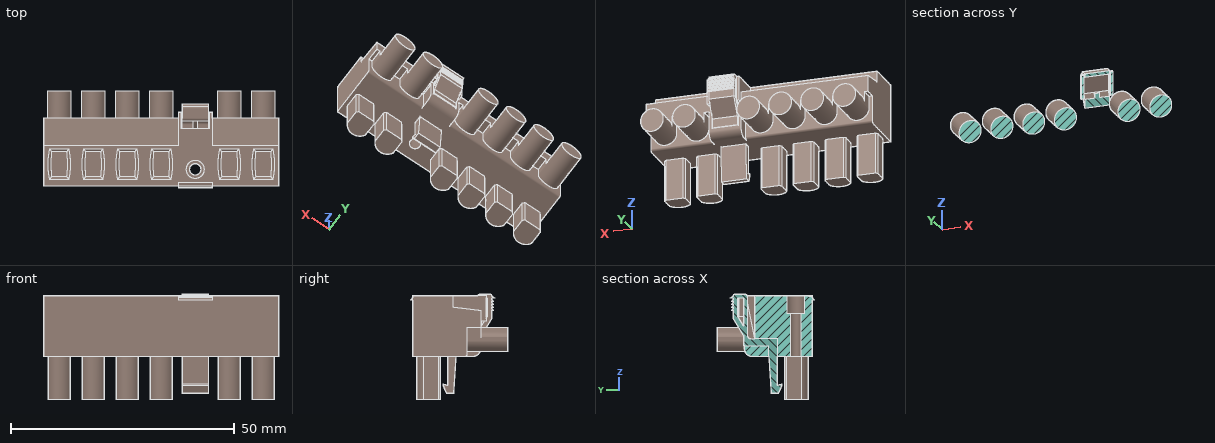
import cadquery as cq


housing_length = 52.72
pitch = 7.62
position_count = 7
latch_position = 4
first_x = (housing_length - (position_count - 1) * pitch) / 2
positions_x = [first_x + i * pitch for i in range(position_count)]
latch_x = positions_x[latch_position]
contacts_x = [x for i, x in enumerate(positions_x) if i != latch_position]

housing_height = 13.7
housing_depth = 15.3
step_y = 9.1
step_z = 11.1
shoulder_back_z = 10.35
bay_front_y = 12.26
bay_corner_radius = 0.6

sleeve_radius = 2.71
sleeve_half_width = 2.67
sleeve_z = 3.84
sleeve_end_y = 21.35
sleeve_top_z = sleeve_z + sleeve_radius

post_bottom_z = -9.62
post_half_width = 2.5
post_front_y = 0.95
post_side_front_y = 2.44
post_side_back_y = 5.81
post_back_y = 6.27
post_back_bevel = post_back_y - post_side_back_y

pocket_depth = 3.6
pocket_front_y = 1.46
pocket_back_y = 8.29
pocket_end_half_width = 2.17
pocket_mid_half_width = 2.54
pocket_floor_front_y = 2.16
pocket_floor_back_y = 7.72
pocket_floor_end_half_width = 1.67
pocket_floor_mid_half_width = 1.85

screw_y = 3.75
screw_hole_diameter = 2.5
screw_head_diameter = 4.05
screw_head_depth = 4.0

tower_width = pitch
tower_back_y = 16.57
tower_overhang_z = 7.95
tower_corner_radius = 1.85

ledge_reach = 0.4
ledge_top_z = 13.25
ledge_bottom_z = 12.7
notch_back_y = 0.8
notch_back_depth = 0.1
notch_front_depth = 0.25

latch_width = 5.94
latch_top_z = 14.03
latch_back_y = 17.8
latch_back_radius = 0.45
latch_front_radius = 0.6
outer_arm_inner_y = 16.72
inner_arm_back_y = 15.45
inner_arm_front_y = 14.55
head_underside_z = 13.1
bend_z = 8.57
bend_inner_z = 9.0
bend_slope = 0.6
web_bottom_z = 2.5
web_top_z = 4.0
web_blend_radius = 0.85
rib_width = 1.1
rib_top_z = 12.0

stem_front_y = 7.86
stem_back_y = 9.78
hook_bottom_z = -8.23
hook_bottom_front_y = 7.6
hook_bottom_back_y = 9.25
hook_tip_y = 6.85
hook_tip_z = -6.15
hook_tip_height = 0.3
hook_root_z = -6.4

tooth_count = 5
tooth_pitch = 0.68
tooth_height = 0.4
tooth_reach = 0.35
top_tooth_z = 13.1
top_tooth_height = 0.48
top_tooth_reach = 0.65

slot_width = 6.3
slot_front_y = 12.95


def extrude_across(points, center_x, width):
    """Prism with the given (Y, Z) outline, centred on center_x."""
    return (cq.Workplane("YZ").workplane(offset=center_x - width / 2)
            .polyline(points).close().extrude(width))


def box_between(x0, x1, y0, y1, z0, z1):
    """Box spanning the given limits along each axis."""
    return cq.Workplane("XY").box(x1 - x0, y1 - y0, z1 - z0, centered=False).translate((x0, y0, z0))


def make_shell():
    """Main block with its sloped shoulder and the undercut below it."""
    outline = [
        (0, 0),
        (bay_front_y, 0),
        (bay_front_y, sleeve_top_z),
        (housing_depth, sleeve_top_z),
        (housing_depth, shoulder_back_z),
        (step_y, step_z),
        (step_y, housing_height),
        (0, housing_height),
    ]
    shell = extrude_across(outline, housing_length / 2, housing_length)
    lower_back_edge = cq.selectors.NearestToPointSelector((housing_length / 2, bay_front_y, 0))
    return shell.edges(lower_back_edge).fillet(bay_corner_radius)


def make_tower():
    """Block behind the screw hole that carries the latch lever."""
    outline = [
        (step_y, 0),
        (housing_depth, 0),
        (housing_depth, tower_overhang_z),
        (tower_back_y, tower_overhang_z),
        (tower_back_y, housing_height),
        (step_y, housing_height),
    ]
    tower = extrude_across(outline, latch_x, tower_width)
    lower_back_edge = cq.selectors.NearestToPointSelector((latch_x, housing_depth, 0))
    return tower.edges(lower_back_edge).fillet(tower_corner_radius)


def make_sleeve(x):
    """Round sleeve with flattened sides, carried up to the shoulder inside the undercut."""
    left, right = x - sleeve_half_width, x + sleeve_half_width
    sleeve = (cq.Workplane("XZ", origin=(x, sleeve_end_y, sleeve_z))
              .circle(sleeve_radius).extrude(sleeve_end_y - bay_front_y))
    flats = box_between(left, right, bay_front_y, sleeve_end_y,
                        sleeve_z - sleeve_radius, sleeve_top_z)
    neck = box_between(left, right, bay_front_y, housing_depth, sleeve_z, sleeve_top_z)
    return sleeve.intersect(flats).union(neck)


def make_post(x):
    """Contact post with an arched front and bevelled back corners."""
    back_half_width = post_half_width - post_back_bevel
    return (cq.Workplane("XY", origin=(x, 0, post_bottom_z))
            .moveTo(-post_half_width, post_side_front_y)
            .threePointArc((0, post_front_y), (post_half_width, post_side_front_y))
            .lineTo(post_half_width, post_side_back_y)
            .lineTo(back_half_width, post_back_y)
            .lineTo(-back_half_width, post_back_y)
            .lineTo(-post_half_width, post_side_back_y)
            .close().extrude(-post_bottom_z))


def draw_barrel(plane, front_y, back_y, end_half_width, mid_half_width):
    """Outline with straight ends and sides that bulge outwards."""
    mid_y = (front_y + back_y) / 2
    return (plane.moveTo(-end_half_width, front_y)
            .lineTo(end_half_width, front_y)
            .threePointArc((mid_half_width, mid_y), (end_half_width, back_y))
            .lineTo(-end_half_width, back_y)
            .threePointArc((-mid_half_width, mid_y), (-end_half_width, front_y))
            .close())


def make_pocket(x):
    """Tapered screw pocket, narrowing towards its floor."""
    rim = draw_barrel(cq.Workplane("XY", origin=(x, 0, housing_height)), pocket_front_y,
                      pocket_back_y, pocket_end_half_width, pocket_mid_half_width)
    floor = rim.workplane(offset=-pocket_depth)
    return draw_barrel(floor, pocket_floor_front_y, pocket_floor_back_y,
                       pocket_floor_end_half_width, pocket_floor_mid_half_width).loft(ruled=True)


def make_screw_hole():
    """Through hole with a wider bore for the screw head."""
    top = cq.Workplane("XY", origin=(latch_x, screw_y, housing_height))
    through = top.circle(screw_hole_diameter / 2).extrude(-housing_height)
    head = top.circle(screw_head_diameter / 2).extrude(-screw_head_depth)
    return through.union(head)


def make_ledge():
    """Wedge-shaped ledge across the front of the tower."""
    outline = [(0, ledge_top_z), (-ledge_reach, ledge_bottom_z), (0, ledge_bottom_z)]
    return extrude_across(outline, latch_x, tower_width)


def make_notch():
    """Shallow notch in the top edge, deepening towards the front."""
    outline = [
        (0, housing_height),
        (notch_back_y, housing_height),
        (notch_back_y, housing_height - notch_back_depth),
        (0, housing_height - notch_front_depth),
    ]
    return extrude_across(outline, latch_x, tower_width)


def slant_z(y, start_y, start_z):
    """Height of the lever's slanted part at y, falling from its start point."""
    return start_z - (start_y - y) / bend_slope


def make_lever_loop():
    """Inverted U of the two arms, the web across the housing and the hooked stem."""
    outline = [
        (inner_arm_front_y, latch_top_z),
        (latch_back_y, latch_top_z),
        (latch_back_y, bend_z),
        (inner_arm_back_y, slant_z(inner_arm_back_y, latch_back_y, bend_z)),
        (inner_arm_back_y, web_bottom_z),
        (stem_back_y, web_bottom_z),
        (stem_back_y, 0),
        (hook_bottom_back_y, hook_bottom_z),
        (hook_bottom_front_y, hook_bottom_z),
        (hook_tip_y, hook_tip_z - hook_tip_height),
        (hook_tip_y, hook_tip_z),
        (stem_front_y, hook_root_z),
        (stem_front_y, web_top_z),
        (inner_arm_front_y, web_top_z),
    ]
    loop = extrude_across(outline, latch_x, latch_width)
    for y, radius in ((inner_arm_front_y, latch_front_radius), (latch_back_y, latch_back_radius)):
        head_edge = cq.selectors.NearestToPointSelector((latch_x, y, latch_top_z))
        loop = loop.edges(head_edge).fillet(radius)
    inner_corner = cq.selectors.NearestToPointSelector((latch_x, inner_arm_front_y, web_top_z))
    loop = loop.edges(inner_corner).fillet(web_blend_radius)
    opening = [
        (inner_arm_back_y, head_underside_z),
        (outer_arm_inner_y, head_underside_z),
        (outer_arm_inner_y, bend_inner_z),
        (inner_arm_back_y, slant_z(inner_arm_back_y, outer_arm_inner_y, bend_inner_z)),
    ]
    return loop.cut(extrude_across(opening, latch_x, latch_width))


def make_rib():
    """Triangular rib stiffening the corner between the inner arm and the web."""
    outline = [
        (inner_arm_front_y, rib_top_z),
        (slot_front_y, web_top_z),
        (inner_arm_front_y, web_top_z),
    ]
    return extrude_across(outline, latch_x, rib_width)


def make_gusset():
    """Narrow gusset filling the foot of the gap between the two arms."""
    outline = [
        (inner_arm_back_y, slant_z(inner_arm_back_y, outer_arm_inner_y, bend_inner_z)),
        (outer_arm_inner_y, bend_inner_z),
        (inner_arm_back_y, bend_inner_z),
    ]
    return extrude_across(outline, latch_x, rib_width)


def make_tooth(index):
    """Grip tooth with a flat underside; the first one is larger than the rest."""
    reach, height = tooth_reach, tooth_height
    if index == 0:
        reach, height = top_tooth_reach, top_tooth_height
    tip_z = top_tooth_z - index * tooth_pitch
    outline = [
        (latch_back_y, tip_z + height),
        (latch_back_y + reach, tip_z),
        (latch_back_y, tip_z),
    ]
    return extrude_across(outline, latch_x, latch_width)


latch = make_lever_loop().union(make_rib()).union(make_gusset())
for tooth_index in range(tooth_count):
    latch = latch.union(make_tooth(tooth_index))

housing = make_shell().union(make_tower()).union(make_ledge()).cut(make_notch())
for contact_x in contacts_x:
    housing = housing.union(make_sleeve(contact_x)).union(make_post(contact_x))
    housing = housing.cut(make_pocket(contact_x))
lever_slot = box_between(latch_x - slot_width / 2, latch_x + slot_width / 2,
                         slot_front_y, tower_back_y, web_bottom_z, housing_height)
housing = housing.cut(make_screw_hole()).cut(lever_slot).cut(latch)

result = cq.Compound.makeCompound([housing.val(), latch.val()])